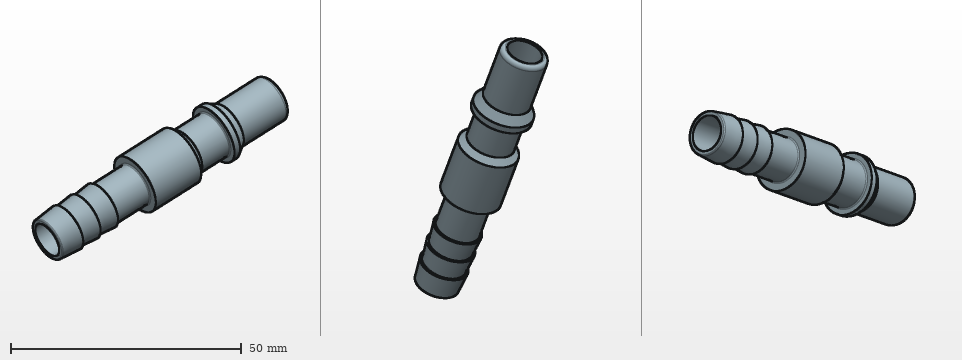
import cadquery as cq

bore_radius = 4.0
body_radius = 6.95
spigot_radius = 5.5
hose_radius = 5.0
barb_radius = 5.55

total_length = 64.5
collar_cone_start = 13.1
collar_rim_start = 15.4
collar_end = 17.0
body_cone_start = 24.95
body_start = 26.5
body_end = 39.5
first_barb = 49.0
barb_pitch = 4.95
barb_count = 3

plug_round = 1.0
corner_fillet = 0.25
tip_round = 0.25


def outer_profile():
    """Outer half-section, with radius along X and the plug end at Y = 0."""
    profile = (
        cq.Workplane("XY")
        .lineTo(spigot_radius - plug_round, 0)
        .radiusArc((spigot_radius, plug_round), -plug_round)
        .lineTo(spigot_radius, collar_cone_start)
        .lineTo(body_radius, collar_rim_start)
        .lineTo(body_radius, collar_end)
        .lineTo(spigot_radius + corner_fillet, collar_end)
        .radiusArc((spigot_radius, collar_end + corner_fillet), corner_fillet)
        .lineTo(spigot_radius, body_cone_start)
        .lineTo(body_radius, body_start)
        .lineTo(body_radius, body_end)
        .lineTo(hose_radius + corner_fillet, body_end)
        .radiusArc((hose_radius, body_end + corner_fillet), corner_fillet)
    )
    for i in range(barb_count):
        barb_start = first_barb + i * barb_pitch
        profile = profile.lineTo(hose_radius, barb_start).lineTo(barb_radius, barb_start)
    return (
        profile.lineTo(hose_radius, total_length - tip_round)
        .radiusArc((hose_radius - tip_round, total_length), -tip_round)
        .lineTo(0, total_length)
        .close()
    )


connector = outer_profile().revolve(360, (0, 0, 0), (0, 1, 0))
connector = connector.rotate((0, 0, 0), (0, 0, 1), 180).translate((0, total_length / 2, 0))

bore = cq.Workplane("XZ").circle(bore_radius).extrude(total_length / 2, both=True)
result = connector.cut(bore)